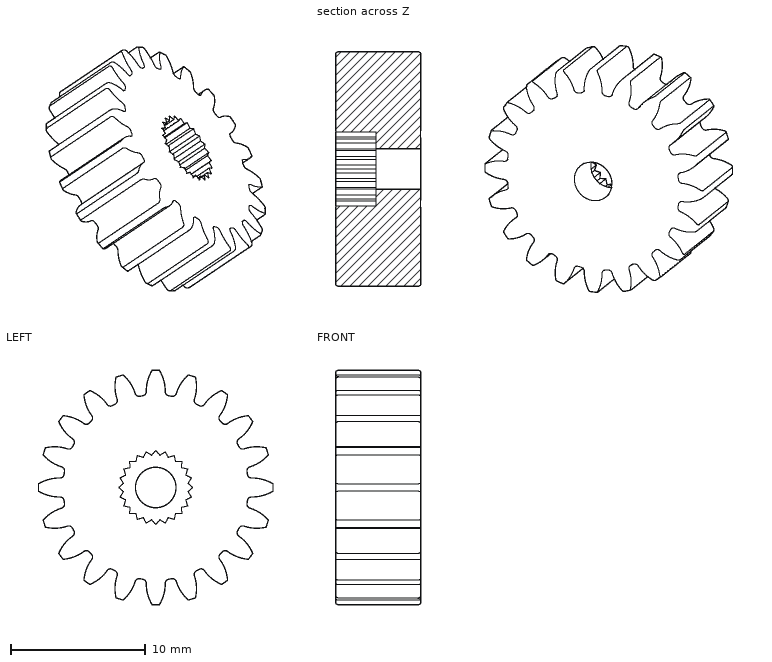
import cadquery as cq
import math

MM_PER_INCH = 25.4
DIAMETRAL_PITCH = 32
TOOTH_COUNT = 20
MODULE = MM_PER_INCH / DIAMETRAL_PITCH
PRESSURE_ANGLE = math.radians(20)
FACE_WIDTH = MM_PER_INCH / 4
PITCH_RADIUS = MODULE * TOOTH_COUNT / 2
TIP_RADIUS = PITCH_RADIUS + MODULE
ROOT_RADIUS = 6.9
BASE_RADIUS = PITCH_RADIUS * math.cos(PRESSURE_ANGLE)
TOOTH_PITCH = 2 * math.pi / TOOTH_COUNT
ROOT_FILLET = 0.3
ROOT_HALF_WIDTH = 0.115
FILLET_SWEEP = math.radians(77)
TIP_FILLET = 0.2

SPLINE_COUNT = 24
SPLINE_MAJOR_RADIUS = 2.75
SPLINE_MINOR_RADIUS = 2.42
SOCKET_DEPTH = 3.0
SCREW_HOLE_DIAMETER = 3.0


def polar(radius, angle):
    """Point in the gear plane at a radius and angle from the gear axis."""
    return (radius * math.cos(angle), radius * math.sin(angle))


def tooth_half_angle(radius):
    """Half the angle spanned by an involute tooth at a radius."""
    roll_angle = math.acos(BASE_RADIUS / radius)
    involute = math.tan(roll_angle) - roll_angle
    pitch_involute = math.tan(PRESSURE_ANGLE) - PRESSURE_ANGLE
    return TOOTH_PITCH / 4 + pitch_involute - involute


def fillet_point(gap_angle, side, direction):
    """Point on the root fillet on one side of a tooth gap, in a direction from the fillet center.

    The direction is measured from the inward radial line toward the tooth flank.
    """
    radial = ROOT_RADIUS + ROOT_FILLET - ROOT_FILLET * math.cos(direction)
    sideways = side * (ROOT_HALF_WIDTH + ROOT_FILLET * math.sin(direction))
    return polar(math.hypot(radial, sideways), gap_angle + math.atan2(sideways, radial))


def gear_blank():
    """Toothed disc: curved flanks joined by filleted tooth gaps."""
    pitch_half_angle = tooth_half_angle(PITCH_RADIUS)
    tip_half_angle = tooth_half_angle(TIP_RADIUS)
    first_gap = -TOOTH_PITCH / 2
    outline = cq.Workplane("YZ").moveTo(*fillet_point(first_gap, 1, FILLET_SWEEP))
    for tooth in range(TOOTH_COUNT):
        center = tooth * TOOTH_PITCH
        gap = center + TOOTH_PITCH / 2
        outline = (
            outline
            .threePointArc(
                polar(PITCH_RADIUS, center - pitch_half_angle),
                polar(TIP_RADIUS, center - tip_half_angle),
            )
            .threePointArc(polar(TIP_RADIUS, center), polar(TIP_RADIUS, center + tip_half_angle))
            .threePointArc(
                polar(PITCH_RADIUS, center + pitch_half_angle),
                fillet_point(gap, -1, FILLET_SWEEP),
            )
            .threePointArc(fillet_point(gap, -1, FILLET_SWEEP / 2), fillet_point(gap, -1, 0))
            .lineTo(*fillet_point(gap, 1, 0))
            .threePointArc(
                fillet_point(gap, 1, FILLET_SWEEP / 2), fillet_point(gap, 1, FILLET_SWEEP)
            )
        )
    return outline.close().extrude(FACE_WIDTH)


def tip_envelope():
    """Disc with rounded rims that trims the ends of the tooth tips."""
    disc = cq.Workplane("YZ").circle(TIP_RADIUS).extrude(FACE_WIDTH)
    return disc.edges().fillet(TIP_FILLET)


def splined_socket():
    """Star-shaped pocket opening on the -X face."""
    spline_pitch = 2 * math.pi / SPLINE_COUNT
    points = []
    for groove in range(SPLINE_COUNT):
        angle = groove * spline_pitch
        points.append(polar(SPLINE_MAJOR_RADIUS, angle))
        points.append(polar(SPLINE_MINOR_RADIUS, angle + spline_pitch / 2))
    return cq.Workplane("YZ").polyline(points).close().extrude(SOCKET_DEPTH)


def screw_hole():
    """Round hole along the full gear axis."""
    return cq.Workplane("YZ").circle(SCREW_HOLE_DIAMETER / 2).extrude(FACE_WIDTH)


gear = gear_blank().intersect(tip_envelope())
gear = gear.cut(splined_socket()).cut(screw_hole())
result = gear.translate((-FACE_WIDTH / 2, 0, 0))